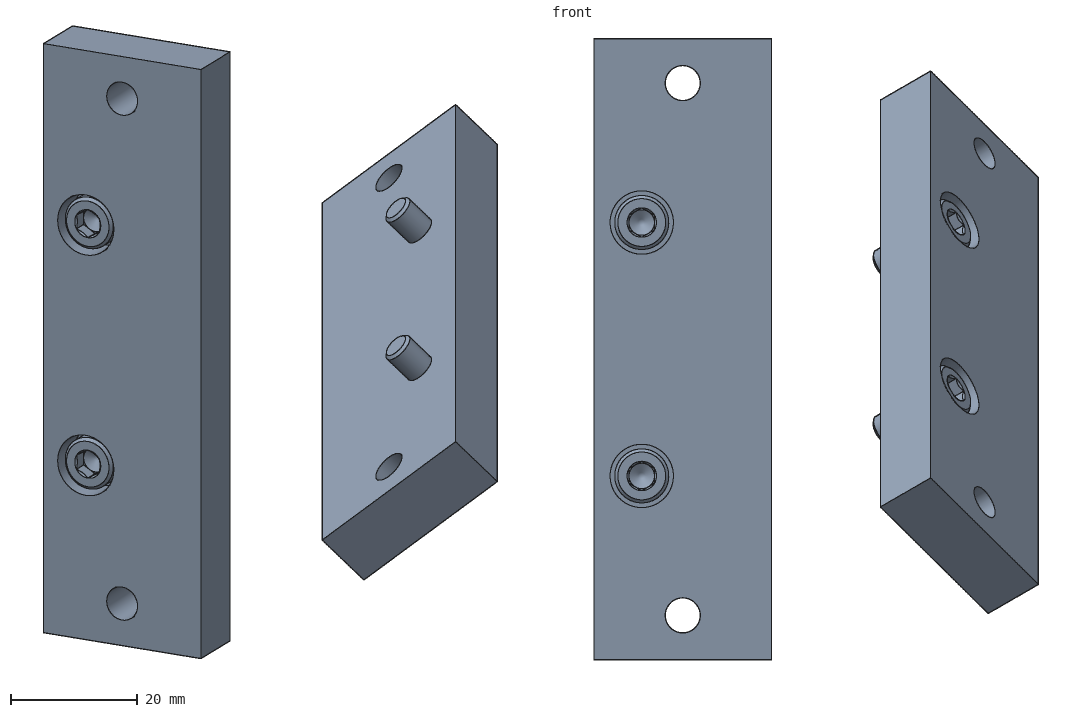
import cadquery as cq
import math

plate_width = 28.0
plate_thickness = 10.0
plate_height = 98.0
mounting_hole_diameter = 5.5
mounting_hole_spacing = 84.0

screw_x = -6.5
screw_spacing = 40.0
shank_diameter = 5.0
shank_protrusion = 5.7
tip_chamfer = 0.5
head_diameter = 8.5
head_height = 5.0
head_edge_chamfer = 0.5
counterbore_diameter = 10.0
counterbore_depth = 5.7

socket_flats = 4.0
socket_depth = 2.45
socket_bottom_angle = 120.0

socket_corners = socket_flats / math.cos(math.radians(30))
socket_cone_depth = socket_flats / 2 / math.tan(math.radians(socket_bottom_angle / 2))
head_front_y = counterbore_depth - head_height
screw_end_y = plate_thickness + shank_protrusion
screw_heights = [-screw_spacing / 2, screw_spacing / 2]
mounting_heights = [-mounting_hole_spacing / 2, mounting_hole_spacing / 2]


def cylinder_along_y(x, z, diameter, start_y, end_y):
    """Cylinder whose axis is parallel to Y."""
    return cq.Workplane(
        cq.Solid.makeCylinder(
            diameter / 2, end_y - start_y, cq.Vector(x, start_y, z), cq.Vector(0, 1, 0)
        )
    )


def make_plate():
    """Plate with two plain mounting holes and two counterbored screw holes."""
    plate = cq.Workplane("XY").box(
        plate_width, plate_thickness, plate_height, centered=(True, False, True)
    )
    for z in mounting_heights:
        plate = plate.cut(cylinder_along_y(0, z, mounting_hole_diameter, 0, plate_thickness))
    for z in screw_heights:
        plate = plate.cut(cylinder_along_y(screw_x, z, shank_diameter, 0, plate_thickness))
        plate = plate.cut(cylinder_along_y(screw_x, z, counterbore_diameter, 0, counterbore_depth))
    return plate


def make_drive_socket(z):
    """Solid filling the drive socket: a hexagon, its rim countersink and its conical bottom."""
    mouth = cq.Plane(origin=(screw_x, head_front_y, z), xDir=(0, 0, 1), normal=(0, 1, 0))
    hexagon = cq.Workplane(mouth).polygon(6, socket_corners).extrude(socket_depth)
    rim_depth = (socket_corners - socket_flats) / 2
    rim = cq.Solid.makeCone(
        socket_corners / 2, socket_flats / 2, rim_depth, mouth.origin, mouth.zDir
    )
    bottom = cq.Solid.makeCone(
        socket_flats / 2,
        0,
        socket_cone_depth,
        cq.Vector(screw_x, head_front_y + socket_depth, z),
        mouth.zDir,
    )
    return hexagon.union(cq.Workplane(rim)).union(cq.Workplane(bottom))


def make_screw(z):
    """Socket head screw resting on the counterbore floor, with its tip behind the plate."""
    head = cylinder_along_y(screw_x, z, head_diameter, head_front_y, counterbore_depth)
    head = head.faces("<Y").edges().chamfer(head_edge_chamfer)
    shank = cylinder_along_y(screw_x, z, shank_diameter, counterbore_depth, screw_end_y)
    shank = shank.faces(">Y").edges().chamfer(tip_chamfer)
    return head.union(shank).cut(make_drive_socket(z))


plate = make_plate()
screws = [make_screw(z) for z in screw_heights]

result = cq.Compound.makeCompound([plate.val(), *[screw.val() for screw in screws]])